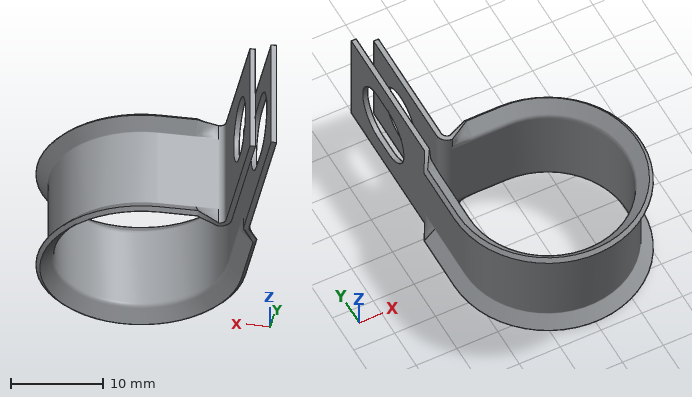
import cadquery as cq
import math


strap_width = 12.7
thickness = 0.6
loop_inner_radius = 9.5
flare_radius = 11.45
loop_outer_radius = loop_inner_radius + thickness
half_width = strap_width / 2

slant = thickness * math.sqrt(0.5)
flare_tip_z = half_width - slant
flare_corner_z = flare_tip_z - (flare_radius - loop_outer_radius)

bend_angle = math.pi / 4
outer_bend_radius = 0.15
inner_bend_radius = outer_bend_radius + thickness
bend_center_radius = loop_outer_radius + outer_bend_radius
bend_z = flare_corner_z - outer_bend_radius * math.tan(bend_angle / 2)

long_flare_end = 7.05
long_fade_end = loop_inner_radius
short_flare_end = 4.2
short_fade_end = 6.7

tab_hole_y = 19.1
long_tab_end = 26.55
short_tab_end = 25.43
short_tab_outer_x = -8.0
corner_outer_radius = -short_fade_end - short_tab_outer_x
hole_diameter = 7.15
slot_length = 9.58
slot_width = 7.25


def long_leg_plane(y):
    """Section plane across the long leg: local x points outward, local y along Z."""
    return cq.Plane(origin=(0, y, 0), xDir=(-1, 0, 0), normal=(0, 1, 0))


def short_leg_plane(distance):
    """Section plane across the short leg, at the given distance toward -X."""
    return cq.Plane(origin=(-distance, 0, 0), xDir=(0, 1, 0), normal=(1, 0, 0))


def bend_point(radius, angle, side):
    """Point on a bend arc, with the angle turned from the band toward the flare."""
    return (
        bend_center_radius - radius * math.cos(angle),
        side * (bend_z + radius * math.sin(angle)),
    )


def flare_section(plane, side):
    """Flared edge section; side is +1 for the upper edge and -1 for the lower."""
    return (
        cq.Workplane(plane)
        .moveTo(loop_inner_radius, side * bend_z)
        .lineTo(loop_outer_radius, side * bend_z)
        .threePointArc(
            bend_point(outer_bend_radius, bend_angle / 2, side),
            bend_point(outer_bend_radius, bend_angle, side),
        )
        .lineTo(flare_radius, side * flare_tip_z)
        .lineTo(flare_radius - slant, side * half_width)
        .lineTo(*bend_point(inner_bend_radius, bend_angle, side))
        .threePointArc(
            bend_point(inner_bend_radius, bend_angle / 2, side),
            bend_point(inner_bend_radius, 0, side),
        )
        .close()
    )


def flat_edge_section(plane, side):
    """Unflared edge section, with one corner for each corner of the flared one."""
    outer_bend_end_z = bend_z + outer_bend_radius * math.sin(bend_angle)
    inner_bend_end_z = bend_z + inner_bend_radius * math.sin(bend_angle)
    return (
        cq.Workplane(plane)
        .moveTo(loop_inner_radius, side * bend_z)
        .lineTo(loop_outer_radius, side * bend_z)
        .lineTo(loop_outer_radius, side * outer_bend_end_z)
        .lineTo(loop_outer_radius, side * half_width)
        .lineTo(loop_inner_radius, side * half_width)
        .lineTo(loop_inner_radius, side * inner_bend_end_z)
        .close()
    )


def band_section(plane):
    """Flat middle of the strap, between the bends into the two flares."""
    middle = (loop_inner_radius + loop_outer_radius) / 2
    return cq.Workplane(plane).moveTo(middle, 0).rect(thickness, 2 * bend_z)


def fade(flared_plane, flat_plane, side):
    """Ruled transition from the flared edge to the flat edge."""
    flared = flare_section(flared_plane, side).val()
    flat = flat_edge_section(flat_plane, side).val()
    return cq.Workplane(cq.Solid.makeLoft([flared, flat], True))


def block(x_min, x_max, y_min, y_max):
    """Full-width strap piece between the given X and Y limits."""
    return cq.Workplane("XY").box(x_max - x_min, y_max - y_min, strap_width).translate(
        ((x_min + x_max) / 2, (y_min + y_max) / 2, 0)
    )


def strap_loop():
    """Three-quarter ring, its two straight legs and the fades at their ends."""
    ring_start = long_leg_plane(0)
    loop = band_section(ring_start).revolve(270, (0, 0), (0, 1))
    loop = loop.union(band_section(ring_start).extrude(long_fade_end))
    loop = loop.union(band_section(short_leg_plane(short_fade_end)).extrude(short_fade_end))
    for side in (1, -1):
        loop = loop.union(flare_section(ring_start, side).revolve(270, (0, 0), (0, 1)))
        loop = loop.union(flare_section(ring_start, side).extrude(long_flare_end))
        short_flare = flare_section(short_leg_plane(short_flare_end), side)
        loop = loop.union(short_flare.extrude(short_flare_end))
        loop = loop.union(fade(long_leg_plane(long_flare_end), long_leg_plane(long_fade_end), side))
        loop = loop.union(fade(short_leg_plane(short_flare_end), short_leg_plane(short_fade_end), side))
    return loop


def long_tab():
    """Tab continuing the long leg, with a slot along Y."""
    tab = block(-loop_outer_radius, -loop_inner_radius, long_fade_end, long_tab_end)
    slot = (
        cq.Workplane("YZ", origin=(-loop_outer_radius, tab_hole_y, 0))
        .slot2D(slot_length, slot_width)
        .extrude(thickness)
    )
    return tab.cut(slot)


def short_tab():
    """Tab turned up from the short leg by a rounded corner, with a round hole."""
    corner_y = loop_inner_radius + corner_outer_radius
    tab = block(short_tab_outer_x, short_tab_outer_x + thickness, corner_y, short_tab_end)
    hole = (
        cq.Workplane("YZ", origin=(short_tab_outer_x, tab_hole_y, 0))
        .circle(hole_diameter / 2)
        .extrude(thickness)
    )
    corner = (
        cq.Workplane("XY")
        .center(-short_fade_end, corner_y)
        .circle(corner_outer_radius)
        .circle(corner_outer_radius - thickness)
        .extrude(half_width, both=True)
        .intersect(block(short_tab_outer_x, -short_fade_end, loop_inner_radius, corner_y))
    )
    return tab.cut(hole).union(corner)


result = strap_loop().union(long_tab()).union(short_tab())